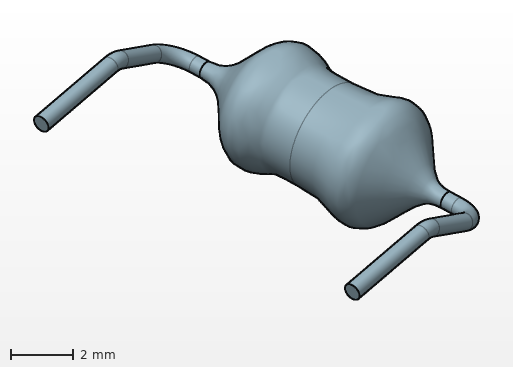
import cadquery as cq
import math

span = 13.4
wire_radius = 0.302
bend_radius = 1.0
lead_tilt = 30.0
slope_length = 3.25
lead_tip_y = -6.67

body_half_length = 4.96
bulge_x = 2.25
bulge_radius = 2.25
waist_radius = 1.88
neck_x = 4.21
neck_radius = 0.5
shoulder_x = 3.08
shoulder_radius = 1.68
crest_x = 2.56
crest_radius = 2.15
flank_x = 1.34
flank_radius = 2.04

lead_x = span / 2 - wire_radius


def make_body():
    """Solid of revolution: two bulges, a waist and a slim neck at each end."""
    left_side = [
        (-body_half_length, wire_radius),
        (-neck_x, neck_radius),
        (-shoulder_x, shoulder_radius),
        (-crest_x, crest_radius),
        (-bulge_x, bulge_radius),
        (-flank_x, flank_radius),
        (0, waist_radius),
    ]
    right_side = [(-x, radius) for x, radius in reversed(left_side)]
    axial = (1, 0)
    profile = (
        cq.Workplane("XY")
        .moveTo(-body_half_length, 0)
        .lineTo(*left_side[0])
        .spline(left_side[1:], tangents=[axial, axial], includeCurrent=True)
        .spline(right_side[1:], tangents=[axial, axial], includeCurrent=True)
        .lineTo(body_half_length, 0)
        .close()
    )
    return profile.revolve(360, (0, 0, 0), (1, 0, 0))


def bend(corner, before, after, angle):
    """Start, middle and end of an arc that rounds a corner of the centreline.

    before and after are the unit directions of travel into and out of it.
    """
    setback = bend_radius * math.tan(angle / 2)
    corner_gap = bend_radius * (1 / math.cos(angle / 2) - 1)
    start = corner - before * setback
    end = corner + after * setback
    middle = corner + (after - before).normalized() * corner_gap
    return start, middle, end


def make_lead(side):
    """Round wire from one body end; side is -1 for the -X end, 1 for the +X end."""
    tilt = math.radians(lead_tilt)
    outward = cq.Vector(side, 0, 0)
    slope = cq.Vector(0, -math.cos(tilt), math.sin(tilt))
    forward = cq.Vector(0, -1, 0)

    root = outward * body_half_length
    first_corner = outward * lead_x
    second_corner = first_corner + slope * slope_length
    tip = cq.Vector(second_corner.x, lead_tip_y, second_corner.z)

    first_bend = bend(first_corner, outward, slope, math.pi / 2)
    second_bend = bend(second_corner, slope, forward, tilt)
    centreline = cq.Wire.assembleEdges([
        cq.Edge.makeLine(root, first_bend[0]),
        cq.Edge.makeThreePointArc(*first_bend),
        cq.Edge.makeLine(first_bend[2], second_bend[0]),
        cq.Edge.makeThreePointArc(*second_bend),
        cq.Edge.makeLine(second_bend[2], tip),
    ])
    section = cq.Workplane(cq.Plane(origin=root, normal=outward)).circle(wire_radius)
    return section.sweep(centreline)


body = make_body()
leads = [make_lead(side) for side in (-1, 1)]

result = cq.Compound.makeCompound([body.val(), *[lead.val() for lead in leads]])